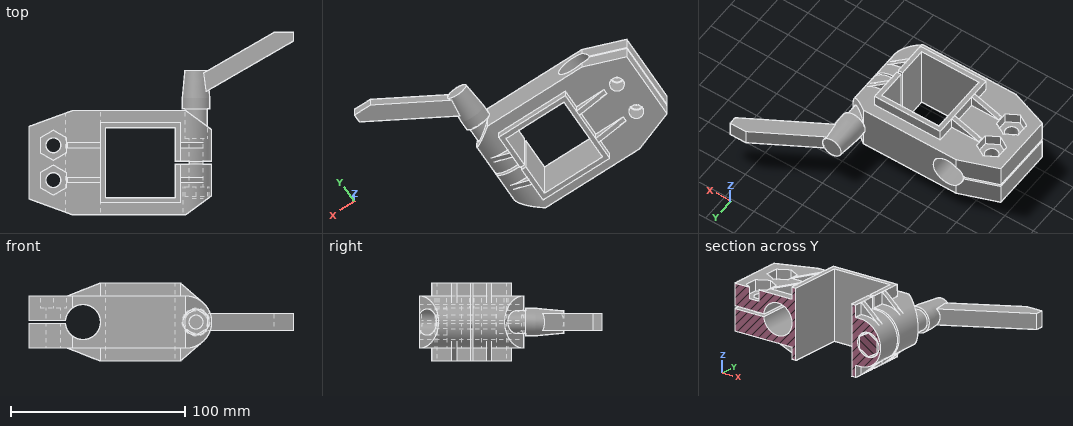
import cadquery as cq
import math


block_width = 60.0
block_height = 30.0
nose_length = 25.0
nose_angle = 20.0
nose_width = block_width - 2 * nose_length * math.tan(math.radians(nose_angle))
round_center_x = 90.0
round_radius = block_height / 2
clamp_length = round_center_x + round_radius
end_width = 38.0
slit = 1.5

opening_center_x = 64.0
opening_size = 40.0
collar_wall = 3.0
collar_size = opening_size + 2 * collar_wall
collar_left = opening_center_x - collar_size / 2
collar_right = opening_center_x + collar_size / 2
total_height = 45.0

rib_thickness = 3.0
rib_pitch = 20.0
rib_positions = (-rib_pitch / 2, rib_pitch / 2)
front_rib_start = 22.0

bore_diameter = 20.0
bore_x = collar_left - bore_diameter / 2

nut_hole_x = 14.0
nut_hole_diameter = 8.4
nut_pocket_flats = 15.0
nut_pocket_depth = 7.0

screw_x = 96.0
stud_diameter = 8.0
shank_diameter = 13.0
nut_corners = 15.0
seat_y = 14.0
nut_thickness = 5.5
stud_protrusion = 1.0

hub_diameter = 16.0
hub_tip_diameter = 13.0
hub_start_y = 31.0
hub_band = 6.0
hub_length = 22.0
handle_angle = 30.0
handle_width = 10.0
handle_thickness = 10.0
handle_tip_x = 152.0
handle_tip_y = 75.0
handle_root_y = 43.3


def hexagon_diameter(flats):
    """Diameter across the corners of a hexagon, from its size across the flats."""
    return flats / math.cos(math.pi / 6)


def cylinder_along_y(diameter, start_y, end_y):
    """Cylinder on the axis of the clamping screw, from start_y up to end_y."""
    base = cq.Workplane("XZ", origin=(screw_x, start_y, 0))
    return base.circle(diameter / 2).extrude(start_y - end_y)


def make_block():
    """Block with a tapered nose and a rounded, tapered screw end."""
    half_width = block_width / 2
    plan = (
        cq.Workplane("XY")
        .polyline(
            [
                (0, -nose_width / 2),
                (nose_length, -half_width),
                (round_center_x, -half_width),
                (clamp_length, -end_width / 2),
                (clamp_length, end_width / 2),
                (round_center_x, half_width),
                (nose_length, half_width),
                (0, nose_width / 2),
            ]
        )
        .close()
        .extrude(block_height / 2, both=True)
    )
    profile = (
        cq.Workplane("XZ")
        .moveTo(0, -round_radius)
        .lineTo(round_center_x, -round_radius)
        .threePointArc((clamp_length, 0), (round_center_x, round_radius))
        .lineTo(0, round_radius)
        .close()
        .extrude(block_width / 2, both=True)
    )
    return plan.intersect(profile)


def make_ribs():
    """Sloping ribs on both sides of the collar; those at the screw end meet the round tangentially."""
    offset_x = collar_right - round_center_x
    top_z = total_height / 2
    tangent_angle = math.atan2(top_z, offset_x) - math.acos(round_radius / math.hypot(offset_x, top_z))
    tangent_x = round_center_x + round_radius * math.cos(tangent_angle)
    tangent_z = round_radius * math.sin(tangent_angle)
    outline = (
        cq.Workplane("XZ")
        .polyline(
            [
                (front_rib_start, block_height / 2),
                (collar_left, top_z),
                (collar_right, top_z),
                (tangent_x, tangent_z),
                (tangent_x, -tangent_z),
                (collar_right, -top_z),
                (collar_left, -top_z),
                (front_rib_start, -block_height / 2),
            ]
        )
        .close()
        .extrude(rib_thickness / 2, both=True)
    )
    ribs = [outline.translate((0, y, 0)) for y in rib_positions]
    return ribs[0].union(ribs[1])


def make_nut_hole(y):
    """Through hole with a hexagonal pocket sunk from the top face."""
    hole = cq.Workplane("XY", origin=(nut_hole_x, y, 0)).circle(nut_hole_diameter / 2)
    pocket = (
        cq.Workplane("XY", origin=(nut_hole_x, y, block_height / 2))
        .transformed(rotate=(0, 0, 90))
        .polygon(6, hexagon_diameter(nut_pocket_flats))
        .extrude(-nut_pocket_depth)
    )
    return hole.extrude(block_height, both=True).union(pocket)


def make_clamp():
    collar = cq.Workplane("XY").box(collar_size, collar_size, total_height)
    clamp = make_block().union(collar.translate((opening_center_x, 0, 0))).union(make_ribs())

    opening = cq.Workplane("XY").box(opening_size, opening_size, total_height)
    clamp = clamp.cut(opening.translate((opening_center_x, 0, 0)))

    bore = cq.Workplane("XZ").center(bore_x, 0).circle(bore_diameter / 2)
    clamp = clamp.cut(bore.extrude(block_width, both=True))

    nose_slit = cq.Workplane("XY").box(bore_x, block_width, slit, centered=(False, True, True))
    clamp = clamp.cut(nose_slit)
    end_slit_length = clamp_length - opening_center_x
    end_slit = cq.Workplane("XY").box(end_slit_length, slit, total_height, centered=(False, True, True))
    clamp = clamp.cut(end_slit.translate((opening_center_x, 0, 0)))

    for y in rib_positions:
        clamp = clamp.cut(make_nut_hole(y))

    clamp = clamp.cut(cylinder_along_y(nut_corners, -block_width / 2, -seat_y))
    clamp = clamp.cut(cylinder_along_y(stud_diameter, -seat_y, seat_y))
    return clamp.cut(cylinder_along_y(shank_diameter, seat_y, block_width / 2))


def make_handle():
    """Slanting flat handle, cut square to X and Y at its tip."""
    slope = math.tan(math.radians(handle_angle))
    half_rise = handle_width / 2 / math.cos(math.radians(handle_angle))
    reach = handle_tip_x - screw_x
    upper_root_y = handle_root_y + half_rise
    lower_root_y = handle_root_y - half_rise
    return (
        cq.Workplane("XY")
        .polyline(
            [
                (screw_x, lower_root_y),
                (handle_tip_x, lower_root_y + reach * slope),
                (handle_tip_x, handle_tip_y),
                (screw_x + (handle_tip_y - upper_root_y) / slope, handle_tip_y),
                (screw_x, upper_root_y),
            ]
        )
        .close()
        .extrude(handle_thickness / 2, both=True)
    )


def make_lever():
    """Clamping lever in one piece with its stepped screw and nut."""
    stud_end_y = -seat_y - nut_thickness - stud_protrusion
    nut = (
        cq.Workplane("XZ", origin=(screw_x, -seat_y, 0))
        .transformed(rotate=(0, 0, 90))
        .polygon(6, nut_corners)
        .extrude(nut_thickness)
    )
    hub = (
        cq.Workplane("XY")
        .polyline(
            [
                (0, hub_start_y),
                (-hub_diameter / 2, hub_start_y),
                (-hub_diameter / 2, hub_start_y + hub_band),
                (-hub_tip_diameter / 2, hub_start_y + hub_length),
                (0, hub_start_y + hub_length),
            ]
        )
        .close()
        .revolve(360, (0, 0, 0), (0, 1, 0))
        .translate((screw_x, 0, 0))
    )
    stud = cylinder_along_y(stud_diameter, stud_end_y, seat_y)
    shank = cylinder_along_y(shank_diameter, seat_y, hub_start_y)
    return nut.union(stud).union(shank).union(hub).union(make_handle())


clamp = make_clamp()
lever = make_lever()

result = cq.Compound.makeCompound([clamp.val(), lever.val()])